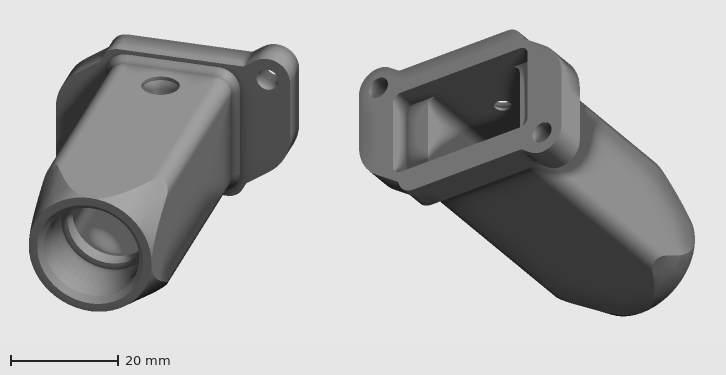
import cadquery as cq
import math

length = 60.8

flange_half_width = 22.8
flange_half_height = 13.9
flange_thickness = 6.15
slope_angle = math.radians(35)
side_radius = 9.2
corner_radius = 3.35
corner_arc_x = 10.6
lug_radius = 4.4
lug_x = flange_half_width - lug_radius
lug_z = 11.85
lug_hole_diameter = 4.25
notch_radius = 1.2

tube_width = 23.95
tube_corner_radius = 3.1
collar_step = 1.1
collar_length = 1.65
cone_length = 19.6
cone_flare = 6.0

mouth_bore_radius = 9.25
mouth_bore_depth = 12.05
mouth_chamfer = 1.1
throat_radius = 7.95
cavity_width = 20.7
cavity_height = 17.75
cavity_depth = 45.6
recess_width = 30.4
recess_height = cavity_height
recess_depth = 4.55
cavity_corner_radius = 1.8

screw_y = -14.3
screw_head_radius = 3.6
screw_hole_radius = 1.65
screw_rim_depth = 0.7
screw_cone_depth = 2.6

slope_cos = math.cos(slope_angle)
slope_sin = math.sin(slope_angle)
side_center_x = side_radius - flange_half_width
slope_start = (side_center_x - side_radius * slope_sin, side_radius * slope_cos)
corner_center = (-corner_arc_x, flange_half_height - corner_radius)
lug_tangent = (lug_x - lug_radius * slope_sin, lug_z + lug_radius * slope_cos)
lug_foot_x = lug_tangent[0] - (lug_tangent[1] - flange_half_height) / math.tan(slope_angle)
lug_foot = (lug_foot_x, flange_half_height)


def slope_meets_corner():
    """Point where the sloped edge first reaches the corner arc."""
    dx = corner_center[0] - slope_start[0]
    dz = corner_center[1] - slope_start[1]
    along = dx * slope_cos + dz * slope_sin
    across = dz * slope_cos - dx * slope_sin
    travel = along - math.sqrt(corner_radius**2 - across**2)
    return slope_start[0] + travel * slope_cos, slope_start[1] + travel * slope_sin


corner_start = slope_meets_corner()


def arc_middle(center, radius, start_angle, end_angle):
    middle_angle = (start_angle + end_angle) / 2
    return center[0] + radius * math.cos(middle_angle), center[1] + radius * math.sin(middle_angle)


def turned(point, turn):
    """The point itself for turn 1, or its place after half a turn about the axis for turn -1."""
    return turn * point[0], turn * point[1]


def flange_plate():
    slope_normal = math.pi / 2 + slope_angle
    corner_start_angle = math.atan2(corner_start[1] - corner_center[1], corner_start[0] - corner_center[0])
    side_middle = arc_middle((side_center_x, 0), side_radius, math.pi, slope_normal)
    corner_middle = arc_middle(corner_center, corner_radius, corner_start_angle, math.pi / 2)
    lug_middle = arc_middle((lug_x, lug_z), lug_radius, slope_normal, 0)

    outline = cq.Workplane("XZ").moveTo(-flange_half_width, -lug_z)
    for turn in (1, -1):
        outline = (
            outline.lineTo(*turned((-flange_half_width, 0), turn))
            .threePointArc(turned(side_middle, turn), turned(slope_start, turn))
            .lineTo(*turned(corner_start, turn))
            .threePointArc(turned(corner_middle, turn), turned((-corner_arc_x, flange_half_height), turn))
            .lineTo(*turned(lug_foot, turn))
            .lineTo(*turned(lug_tangent, turn))
            .threePointArc(turned(lug_middle, turn), turned((flange_half_width, lug_z), turn))
        )
    plate = outline.close().extrude(flange_thickness)

    for turn in (1, -1):
        for notch in (corner_start, lug_foot):
            notch_x, notch_z = turned(notch, turn)
            notch_point = (notch_x, -flange_thickness / 2, notch_z)
            plate = plate.edges(cq.NearestToPointSelector(notch_point)).fillet(notch_radius)
    return plate


def rounded_bar(width, height, corner, start_depth, end_depth):
    """Rounded rectangular bar along the axis, between two depths measured from the flange back."""
    return (
        cq.Workplane("XZ", origin=(0, -start_depth, 0))
        .rect(width, height)
        .extrude(end_depth - start_depth)
        .edges("|Y")
        .fillet(corner)
    )


def tube():
    bar = rounded_bar(tube_width, tube_width, tube_corner_radius, 0, length)
    mouth_radius = tube_width / 2
    cone_slope = cone_flare / cone_length
    trim = (
        cq.Workplane("XY")
        .moveTo(0, -length)
        .lineTo(mouth_radius, -length)
        .lineTo(mouth_radius + cone_slope * length, 0)
        .lineTo(0, 0)
        .close()
        .revolve(360, (0, 0, 0), (0, 1, 0))
    )
    return bar.intersect(trim)


def collar():
    base_width = tube_width + 2 * collar_step
    base = cq.Sketch().rect(base_width, base_width).vertices().fillet(tube_corner_radius + collar_step)
    return (
        cq.Workplane("XZ", origin=(0, -flange_thickness, 0))
        .placeSketch(base)
        .extrude(collar_length, taper=math.degrees(math.atan(collar_step / collar_length)))
    )


def axial_bore():
    """Chamfered mouth bore, down to a ledge around the narrower throat that runs on to the back."""
    ledge_y = mouth_bore_depth - length
    return (
        cq.Workplane("XY")
        .moveTo(0, -length)
        .lineTo(mouth_bore_radius + mouth_chamfer, -length)
        .lineTo(mouth_bore_radius, mouth_chamfer - length)
        .lineTo(mouth_bore_radius, ledge_y)
        .lineTo(throat_radius, ledge_y)
        .lineTo(throat_radius, 0)
        .lineTo(0, 0)
        .close()
        .revolve(360, (0, 0, 0), (0, 1, 0))
    )


def screw_hole():
    top = tube_width / 2
    return (
        cq.Workplane("XZ", origin=(0, screw_y, 0))
        .moveTo(0, top)
        .lineTo(screw_head_radius, top)
        .lineTo(screw_head_radius, top - screw_rim_depth)
        .lineTo(screw_hole_radius, top - screw_cone_depth)
        .lineTo(screw_hole_radius, 0)
        .lineTo(0, 0)
        .close()
        .revolve(360, (0, 0, 0), (0, 1, 0))
    )


def lug_holes():
    return (
        cq.Workplane("XZ")
        .pushPoints([(lug_x, lug_z), (-lug_x, -lug_z)])
        .circle(lug_hole_diameter / 2)
        .extrude(flange_thickness)
    )


cavity = rounded_bar(cavity_width, cavity_height, cavity_corner_radius, 0, cavity_depth)
recess = rounded_bar(recess_width, recess_height, cavity_corner_radius, 0, recess_depth)

result = flange_plate().union(collar()).union(tube())
for opening in (axial_bore(), cavity, recess, screw_hole(), lug_holes()):
    result = result.cut(opening)